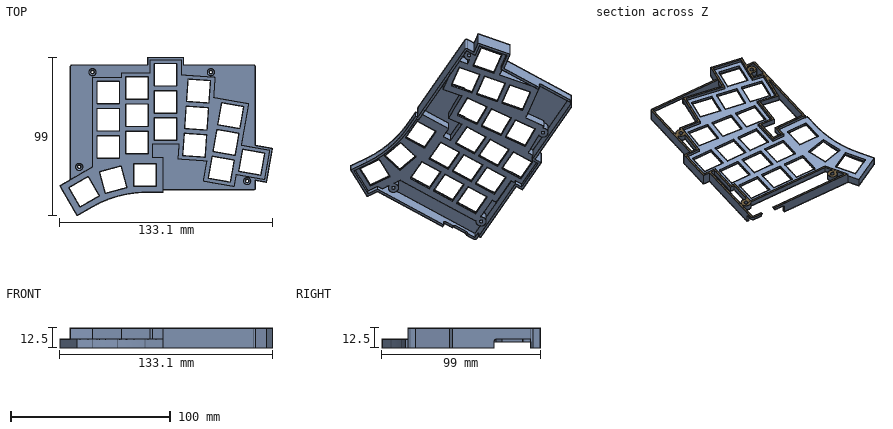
import cadquery as cq
import math


CASE_HEIGHT = 12.5
PLATE_TOP = 5.6
PLATE_BOTTOM = 3.8
ROOF_THICKNESS = 1.6
ROOF_UNDERSIDE = CASE_HEIGHT - ROOF_THICKNESS

CASE_LENGTH = 116.0
CASE_WIDTH = 78.3
CASE_WALL = 1.5
CORNER_RADIUS = 1.6
FRONT_CORNER_RADIUS = 1.2

SWITCH_HOLE = 13.9
KEY_PITCH_X = 18.0
KEY_PITCH_Y = 17.0
KEY_CLEARANCE = 0.8
KEY_WALL = 1.5
THUMB_MARGIN = KEY_CLEARANCE + KEY_WALL

FINGER_COLUMNS = [
    (23.85, 43.9, 0),
    (41.85, 46.7, 0),
    (59.75, 55.05, 0),
    (79.15, 44.9, -4),
    (97.55, 29.7, -10),
]
KEYS_PER_COLUMN = 3
TALL_COLUMN = FINGER_COLUMNS[2]
TILTED_COLUMNS = FINGER_COLUMNS[3:]
TILT_FILL = 4.0

PINKY_STAGGER = -9.4

THUMB_KEYS = [
    (8.75, -1.16, 30),
    (26.95, 6.4, 15),
    (46.9, 9.3, 0),
]

SCREW_POINTS = [(14.0, 73.65), (88.1, 73.65), (5.7, 14.4), (110.8, 5.55)]
SCREW_DIAMETER = 2.0
SCREW_HEAD_DIAMETER = 4.5
SCREW_HEAD_ANGLE = 90
BOSS_RADIUS = 3.2

SLOT_FRONT_Y = 54.0
SLOT_REAR_Y = CASE_WIDTH - CASE_WALL
SLOT_TOP = PLATE_TOP
SLOT_ROUNDING = 1.5
NOTCH_LENGTH = 5.8
PLUG_CENTER_Y = 66.3
PLUG_WIDTH = 10.2
PLUG_TOP = 7.4
PLUG_CHAMFER = 0.9

CUT_MARGIN = 1.0


def place(key, offset_x, offset_y):
    """Point given in a key's own rotated frame, in part coordinates."""
    x, y, angle = key
    turn = math.radians(angle)
    return (
        x + offset_x * math.cos(turn) - offset_y * math.sin(turn),
        y + offset_x * math.sin(turn) + offset_y * math.cos(turn),
    )


def shifted_key(key, offset_x, offset_y):
    return (*place(key, offset_x, offset_y), key[2])


PINKY_KEY = shifted_key(FINGER_COLUMNS[-1], KEY_PITCH_X, PINKY_STAGGER)


def key_block(key, length, width, bottom, top):
    """Upright box centred on a key and turned with it."""
    x, y, angle = key
    box = cq.Workplane("XY").box(length, width, top - bottom, centered=(True, True, False))
    return box.rotate((0, 0, 0), (0, 0, 1), angle).translate((x, y, bottom))


def key_surround(key, rows, margin, bottom, top):
    """Block around a stack of keycaps, larger by margin on every side."""
    length = KEY_PITCH_X + 2 * margin
    width = rows * KEY_PITCH_Y + 2 * margin
    return key_block(key, length, width, bottom, top)


def finger_region(margin, bottom, top):
    """All finger keys; the wedges beside the upper tilted keys are filled in."""
    region = key_surround(PINKY_KEY, 1, margin, bottom, top)
    for column in FINGER_COLUMNS:
        region = region.union(key_surround(column, KEYS_PER_COLUMN, margin, bottom, top))
    for column in TILTED_COLUMNS:
        wedge_key = shifted_key(column, -TILT_FILL, KEY_PITCH_Y / 2)
        region = region.union(key_surround(wedge_key, KEYS_PER_COLUMN - 1, margin, bottom, top))
    return region


def thumb_outline():
    """Fan of thumb keys, closed behind along the first two finger columns."""
    outer, middle, inner = THUMB_KEYS
    half_x = KEY_PITCH_X / 2 + THUMB_MARGIN
    half_y = KEY_PITCH_Y / 2 + THUMB_MARGIN
    left_x = FINGER_COLUMNS[0][0] - KEY_PITCH_X / 2 - KEY_CLEARANCE
    column_end = (KEYS_PER_COLUMN * KEY_PITCH_Y) / 2 + KEY_CLEARANCE
    rear_y = FINGER_COLUMNS[1][1] - column_end
    turn = math.radians(outer[2])
    outer_left = place(outer, -half_x, half_y)
    shoulder = (left_x, outer_left[1] + (left_x - outer_left[0]) * math.tan(turn))
    return (
        cq.Workplane("XY")
        .moveTo(*place(outer, -half_x, -half_y))
        .lineTo(*place(outer, 0, -half_y))
        .tangentArcPoint(place(middle, 0, -half_y), relative=False)
        .tangentArcPoint(place(inner, 0, -half_y), relative=False)
        .lineTo(*place(inner, half_x, -half_y))
        .lineTo(inner[0] + half_x, rear_y)
        .lineTo(left_x, rear_y)
        .lineTo(*shoulder)
        .lineTo(*outer_left)
        .close()
    )


def thumb_region(margin, bottom, top):
    outline = thumb_outline()
    if margin:
        outline = outline.offset2D(margin, "intersection")
    return outline.extrude(top - bottom).translate((0, 0, bottom))


def case_rectangle(inset, bottom, top):
    return cq.Workplane("XY").box(
        CASE_LENGTH - 2 * inset, CASE_WIDTH - 2 * inset, top - bottom, centered=False
    ).translate((inset, inset, bottom))


def outer_body():
    body = case_rectangle(0, 0, CASE_HEIGHT)
    body = body.edges("|Z and >Y").fillet(CORNER_RADIUS)
    body = body.edges("|Z and >X and <Y").fillet(FRONT_CORNER_RADIUS)
    shell = KEY_CLEARANCE + KEY_WALL
    body = body.union(key_surround(TALL_COLUMN, KEYS_PER_COLUMN, shell, 0, CASE_HEIGHT))
    body = body.union(key_surround(PINKY_KEY, 1, shell, 0, CASE_HEIGHT))
    return body.union(thumb_region(0, 0, PLATE_TOP))


def key_pocket(extra, bottom, top):
    """Open space above the plate, widened by extra on every side."""
    pocket = finger_region(KEY_CLEARANCE + extra, bottom, top)
    return pocket.union(thumb_region(extra, bottom, top))


def lower_cavity():
    """Circuit board space below the plate, open at the bottom."""
    cavity = case_rectangle(CASE_WALL, 0, PLATE_BOTTOM)
    cavity = cavity.union(key_surround(TALL_COLUMN, KEYS_PER_COLUMN, KEY_CLEARANCE, 0, PLATE_BOTTOM))
    cavity = cavity.union(key_surround(PINKY_KEY, 1, KEY_CLEARANCE, 0, PLATE_BOTTOM))
    return cavity.union(thumb_region(-KEY_WALL, 0, PLATE_BOTTOM))


def roof_cavity():
    """Space under the roof, around the pocket walls and the screw bosses."""
    cavity = case_rectangle(CASE_WALL, PLATE_BOTTOM, ROOF_UNDERSIDE)
    cavity = cavity.cut(key_pocket(KEY_WALL, PLATE_BOTTOM, ROOF_UNDERSIDE))
    bosses = (
        cq.Workplane("XY", origin=(0, 0, PLATE_BOTTOM))
        .pushPoints(SCREW_POINTS)
        .circle(BOSS_RADIUS)
        .extrude(ROOF_UNDERSIDE - PLATE_BOTTOM)
    )
    return cavity.cut(bosses)


def switch_holes():
    keys = [PINKY_KEY, *THUMB_KEYS]
    for column in FINGER_COLUMNS:
        for row in range(KEYS_PER_COLUMN):
            row_offset = (row - (KEYS_PER_COLUMN - 1) / 2) * KEY_PITCH_Y
            keys.append(shifted_key(column, 0, row_offset))
    holes = cq.Workplane("XY")
    for key in keys:
        holes = holes.add(key_block(key, SWITCH_HOLE, SWITCH_HOLE, PLATE_BOTTOM, PLATE_TOP))
    return holes.combine()


def side_slot(wall_x):
    """Rounded opening through one side wall, from the bottom edge up."""
    slot = cq.Workplane("XY").box(
        2 * CASE_WALL, SLOT_REAR_Y - SLOT_FRONT_Y, SLOT_TOP, centered=(True, False, False)
    )
    slot = slot.edges("|X and >Z and <Y").fillet(SLOT_ROUNDING)
    return slot.translate((wall_x, SLOT_FRONT_Y, 0))


def corner_notch():
    """Opening that carries the left slot round the rear corner."""
    notch = cq.Workplane("XY").box(
        NOTCH_LENGTH + CUT_MARGIN, CASE_WALL + CUT_MARGIN, SLOT_TOP, centered=False
    )
    notch = notch.edges("|Y and >X and >Z").fillet(SLOT_ROUNDING)
    return notch.translate((-CUT_MARGIN, SLOT_REAR_Y, 0))


def plug_recess():
    recess = cq.Workplane("XY").box(2 * CASE_WALL, PLUG_WIDTH, PLUG_TOP, centered=(True, True, False))
    recess = recess.edges("|X and >Z").chamfer(PLUG_CHAMFER)
    return recess.translate((0, PLUG_CENTER_Y, 0))


def build():
    body = outer_body()
    body = body.cut(key_pocket(0, PLATE_TOP, CASE_HEIGHT))
    body = body.cut(lower_cavity())
    body = body.cut(roof_cavity())
    body = body.cut(switch_holes())
    body = body.cut(side_slot(0)).cut(side_slot(CASE_LENGTH))
    body = body.cut(corner_notch()).cut(plug_recess())
    return (
        body.faces(">Z")
        .workplane(origin=(0, 0, CASE_HEIGHT))
        .pushPoints(SCREW_POINTS)
        .cskHole(SCREW_DIAMETER, SCREW_HEAD_DIAMETER, SCREW_HEAD_ANGLE)
    )


result = build()